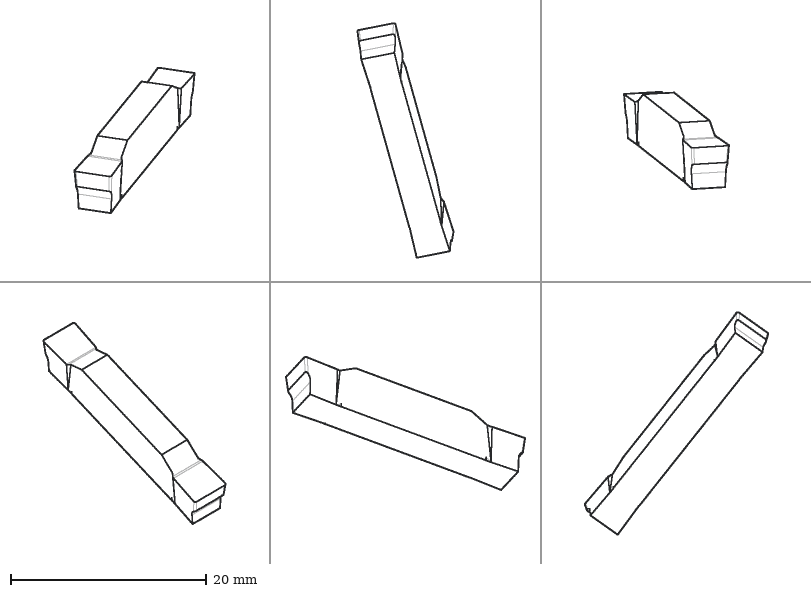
import cadquery as cq
import math

length = 26.2
height = 5.8
cutting_width = 4.03
body_width = 3.28
half_length = length / 2
body_half = body_width / 2

land_height = 4.5
ramp_start = 4.0
ramp_angle = 30.0
ramp_fillet = 0.4

back_taper = 2.0
flank_draft = 3.1
corner_radius = 0.2

clearance_angle = 6.0
relief_top = 2.72
relief_bottom = 1.65
foot_setback = 0.73

shoulder_end_top = 4.35
shoulder_end_base = 3.9
shoulder_angle = 30.0
flank_end = 4.5
flare_half = 2.62


def clearance_setback(z):
    """Distance of the clearance face behind the cutting edge at height z."""
    return (land_height - z) * math.tan(math.radians(clearance_angle))


def head_half(y, z):
    """Half width of the head flanks at a place y and height z."""
    taper = (y + half_length) * math.tan(math.radians(back_taper))
    draft = (land_height - z) * math.tan(math.radians(flank_draft))
    return cutting_width / 2 - taper - draft


def loft_full_height(half_outline):
    """Ruled solid from base to full height; half_outline(z) gives its +X points."""
    section = cq.Workplane("XY")
    for z in (0.0, height):
        right = half_outline(z)
        left = [(-x, y) for x, y in reversed(right)]
        if z > 0:
            section = section.workplane(offset=z)
        section = section.polyline(right + left).close()
    return section.loft(ruled=True)


def flank_outline(z):
    front = -half_length + clearance_setback(z)
    back = -half_length + flank_end
    return [(head_half(front, z), front), (head_half(back, z), back)]


def shoulder_outline(z):
    shift = (shoulder_end_top - shoulder_end_base) * z / land_height
    inner = -half_length + shoulder_end_base + shift
    outer = inner - (flare_half - body_half) / math.tan(math.radians(shoulder_angle))
    front = -half_length - foot_setback
    back = -half_length + flank_end
    return [(flare_half, front), (flare_half, outer), (body_half, inner), (body_half, back)]


def make_head():
    """The head at the -Y end, with rounded cutting corners, at full height."""
    flanks = loft_full_height(flank_outline)
    flanks = flanks.faces("<Y").edges("not #Z").edges("<X or >X").fillet(corner_radius)
    return flanks.intersect(loft_full_height(shoulder_outline))


def make_side_profile():
    """Side outline of the whole insert, extruded across its width."""
    foot = half_length - foot_setback
    relief_y = half_length - clearance_setback(relief_top)
    depth = relief_y - foot
    rise = relief_top - relief_bottom
    relief_radius = (depth**2 + rise**2) / (2 * depth)
    half_sweep = math.asin(rise / relief_radius) / 2
    mid_y = foot + relief_radius * (1 - math.cos(half_sweep))
    mid_z = relief_bottom + relief_radius * math.sin(half_sweep)
    ramp_y = half_length - ramp_start
    crest_y = ramp_y - (height - land_height) / math.tan(math.radians(ramp_angle))
    profile = (
        cq.Workplane("YZ", origin=(-flare_half, 0, 0))
        .moveTo(-foot, 0)
        .lineTo(foot, 0)
        .lineTo(foot, relief_bottom)
        .threePointArc((mid_y, mid_z), (relief_y, relief_top))
        .lineTo(half_length, land_height)
        .lineTo(ramp_y, land_height)
        .lineTo(crest_y, height)
        .lineTo(-crest_y, height)
        .lineTo(-ramp_y, land_height)
        .lineTo(-half_length, land_height)
        .lineTo(-relief_y, relief_top)
        .threePointArc((-mid_y, mid_z), (-foot, relief_bottom))
        .close()
        .extrude(2 * flare_half)
    )
    for y in (-ramp_y, ramp_y):
        root = cq.selectors.NearestToPointSelector((0, y, land_height))
        profile = profile.edges("|X").edges(root).fillet(ramp_fillet)
    return profile


body_length = length - 2 * flank_end
body = cq.Workplane("XY").box(body_width, body_length, height, centered=(True, True, False))
head = make_head()
blank = body.union(head).union(head.mirror("XZ"))
result = blank.intersect(make_side_profile())